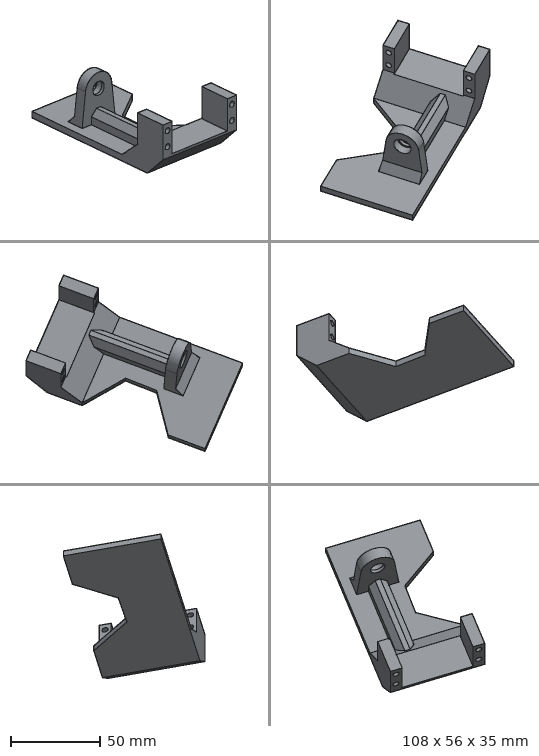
import cadquery as cq
import math

LENGTH = 108.0
WIDTH = 56.0
HEIGHT = 35.0

PLATE_THICKNESS = 4.1
PLATE_END = 95.0
NOTCH_OUTER_X = (22.1, 74.1)
NOTCH_LEFT_FLOOR = (38.2, 33.5)
NOTCH_RIGHT_FLOOR = (57.1, 33.0)

RAMP_START = NOTCH_OUTER_X[1]
RAMP_CREST = 86.4
DECK_HEIGHT = 14.6
DECK_LOWER_EDGE = LENGTH - PLATE_END
RAMP_SLOPE = (DECK_HEIGHT - PLATE_THICKNESS) / (RAMP_CREST - RAMP_START)

ARM_START = 86.9
ARM_THICKNESS = 7.0
ARM_TOP = 34.7
ARM_FOOT = RAMP_SLOPE * (ARM_START - RAMP_START) + PLATE_THICKNESS
ARM_HOLE_DIAMETER = 3.5
ARM_HOLE_HEIGHTS = (20.0, 30.0)

LUG_Y = 18.5
LUG_START = 28.1
LUG_END = 35.0
LUG_RADIUS = 10.0
LUG_AXIS_HEIGHT = HEIGHT - LUG_RADIUS
LUG_FOOT_HALF_WIDTH = 12.5
GUSSET_SIZE = 4.8
BORE_DIAMETER = 10.5
BORE_DEPTH = 5.0
THROUGH_DIAMETER = 8.5

RIB_WIDTH = 11.1
RIB_CHAMFER = 4.0
RIB_TOP = 13.1


def make_plate():
    outline = [
        (0, 0),
        (PLATE_END, 0),
        (PLATE_END, WIDTH),
        (NOTCH_OUTER_X[1], WIDTH),
        NOTCH_RIGHT_FLOOR,
        NOTCH_LEFT_FLOOR,
        (NOTCH_OUTER_X[0], WIDTH),
        (0, WIDTH),
    ]
    return cq.Workplane("XY").polyline(outline).close().extrude(PLATE_THICKNESS)


def extrude_along_y(points, y_start, y_end):
    """Extrude an outline of (x, z) points from y_start to y_end."""
    plane = cq.Workplane("XZ", origin=(0, y_start, 0))
    return plane.polyline(points).close().extrude(y_start - y_end)


def make_deck():
    profile = [
        (RAMP_START, 0),
        (PLATE_END, 0),
        (LENGTH, DECK_LOWER_EDGE),
        (LENGTH, DECK_HEIGHT),
        (RAMP_CREST, DECK_HEIGHT),
        (RAMP_START, PLATE_THICKNESS),
    ]
    return extrude_along_y(profile, 0, WIDTH)


def make_arm(y_start):
    profile = [
        (ARM_START, DECK_LOWER_EDGE),
        (LENGTH, DECK_LOWER_EDGE),
        (LENGTH, ARM_TOP),
        (ARM_START, ARM_TOP),
        (ARM_START, ARM_FOOT),
        (RAMP_CREST, DECK_HEIGHT),
    ]
    arm = extrude_along_y(profile, y_start, y_start + ARM_THICKNESS)
    hole_centres = [(y_start + ARM_THICKNESS / 2, z) for z in ARM_HOLE_HEIGHTS]
    holes = (
        cq.Workplane("YZ", origin=(ARM_START, 0, 0))
        .pushPoints(hole_centres)
        .circle(ARM_HOLE_DIAMETER / 2)
        .extrude(LENGTH - ARM_START)
    )
    return arm.cut(holes)


def lug_tangent_point():
    """Offset from the lug axis (y, z) where a straight side meets the round top."""
    drop = LUG_AXIS_HEIGHT - PLATE_THICKNESS
    foot_distance = math.hypot(LUG_FOOT_HALF_WIDTH, drop)
    angle = math.acos(LUG_RADIUS / foot_distance) - math.atan2(drop, LUG_FOOT_HALF_WIDTH)
    return LUG_RADIUS * math.cos(angle), LUG_RADIUS * math.sin(angle)


def make_lug():
    side, rise = lug_tangent_point()
    tangent_height = LUG_AXIS_HEIGHT + rise
    gusset_start = LUG_START - GUSSET_SIZE
    body = (
        cq.Workplane("YZ", origin=(gusset_start, 0, 0))
        .moveTo(LUG_Y - LUG_FOOT_HALF_WIDTH, PLATE_THICKNESS)
        .lineTo(LUG_Y + LUG_FOOT_HALF_WIDTH, PLATE_THICKNESS)
        .lineTo(LUG_Y + side, tangent_height)
        .threePointArc((LUG_Y, HEIGHT), (LUG_Y - side, tangent_height))
        .close()
        .extrude(LUG_END - gusset_start)
    )
    side_profile = [
        (gusset_start, PLATE_THICKNESS),
        (LUG_END, PLATE_THICKNESS),
        (LUG_END, HEIGHT),
        (LUG_START, HEIGHT),
        (LUG_START, PLATE_THICKNESS + GUSSET_SIZE),
    ]
    body = body.intersect(extrude_along_y(side_profile, 0, WIDTH))
    bore_plane = cq.Workplane("YZ", origin=(LUG_START, LUG_Y, LUG_AXIS_HEIGHT))
    bore = bore_plane.circle(BORE_DIAMETER / 2).extrude(BORE_DEPTH)
    through_hole = bore_plane.circle(THROUGH_DIAMETER / 2).extrude(LUG_END - LUG_START)
    return body.cut(bore).cut(through_hole)


def make_rib():
    half_width = RIB_WIDTH / 2
    half_ridge = half_width - RIB_CHAMFER
    shoulder = RIB_TOP - RIB_CHAMFER
    profile = [
        (-half_width, 0),
        (half_width, 0),
        (half_width, shoulder),
        (half_ridge, RIB_TOP),
        (-half_ridge, RIB_TOP),
        (-half_width, shoulder),
    ]
    return (
        cq.Workplane("YZ", origin=(LUG_END, LUG_Y, 0))
        .polyline(profile)
        .close()
        .extrude(RAMP_CREST - LUG_END)
    )


result = make_plate().union(make_deck()).union(make_lug()).union(make_rib())
for arm_y in (0, WIDTH - ARM_THICKNESS):
    result = result.union(make_arm(arm_y))